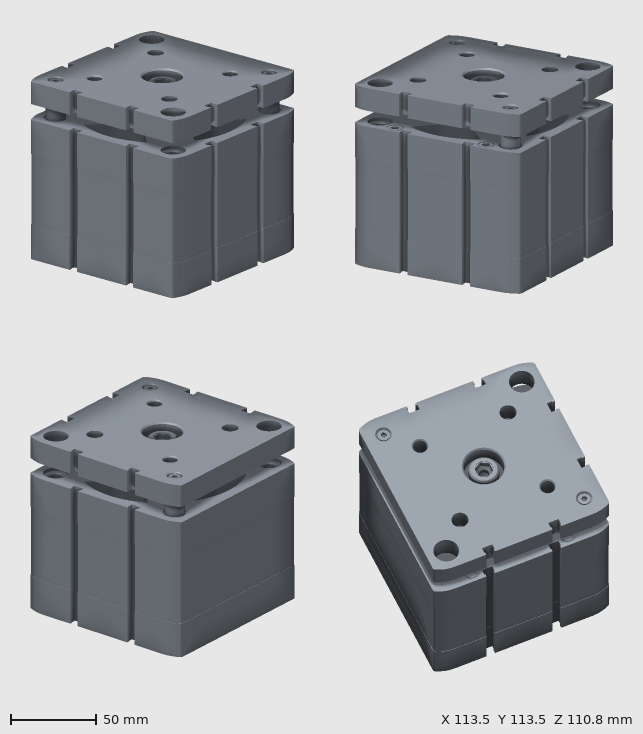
import cadquery as cq
import math

WIDTH = 113.5
HALF = WIDTH / 2
TOTAL_HEIGHT = 110.8
PLATE_THICKNESS = 14.0
GAP = 9.8
PLATE_BOTTOM = TOTAL_HEIGHT - PLATE_THICKNESS
HOUSING_TOP = PLATE_BOTTOM - GAP
CAP_HEIGHT = 21.5
TUBE_HEIGHT = HOUSING_TOP - 2 * CAP_HEIGHT
TUBE_INSET = 0.2

SIDE_ARC_START = 44.5
SIDE_ARC_RADIUS = 24.0
CORNER_FILLET = 1.8

SLOT_OFFSET = 21.35
SLOT_NECK_WIDTH = 5.5
SLOT_INNER_WIDTH = 6.6
SLOT_LIP = 1.8
SLOT_DEPTH = 5.1
SLOT_LIP_BEVEL = 0.3

CORNER_OFFSET = 44.5
GUIDE_DIAMETER = 12.0
GUIDE_COLLAR_DIAMETER = 14.0
GUIDE_COLLAR_DEPTH = 1.0
ROD_DIAMETER = 20.0
ROD_INSERTION = 60.0
FLAT_WIDTH = 17.0
FLAT_HEIGHT = 7.0
FLAT_LEDGE_DROP = 0.9

BORE_DIAMETER = 24.0
BORE_CHAMFER = 0.9
BORE_DEPTH = 10.0
ROD_END_DIAMETER = 18.0
ROD_END_TIP_DIAMETER = 15.8
ROD_END_DEPTH = 3.4
SOCKET_MOUTH_DIAMETER = 11.2
SOCKET_FLATS = 9.5
SOCKET_MOUTH_DEPTH = 0.5
SOCKET_DEPTH = 4.0
PILOT_DIAMETER = 6.0
PILOT_DEPTH = 3.0
DRILL_TIP_ANGLE = 118.0

INNER_HOLE_OFFSET = 28.28
INNER_HOLE_DIAMETER = 10.0
THREAD_DIAMETER = 8.5
SINK_DIAMETER = 10.0
ACCESS_DIAMETER = 15.0
SCREW_HOLE_DIAMETER = 8.57
SCREW_HOLE_DEPTH = 1.5
SCREW_HEAD_DIAMETER = 7.6
SCREW_HEAD_DEPTH = 0.75
SCREW_SOCKET_FLATS = 3.2
SCREW_SOCKET_DEPTH = 2.0

SEAT_DEPTH = 2.0
POCKET_DIAMETER = 100.0
POCKET_DEPTH = 16.0
POCKET_HUB_RADIUS = 30.0
POCKET_RIB_HALF_WIDTH = 14.0
POCKET_FILLET = 10.0
POCKET_DRAFT = 4.5
ADJUSTER_X = -50.0
ADJUSTER_Y = 31.1
ADJUSTER_DIAMETER = 10.7
ADJUSTER_PLUG_DIAMETER = 8.5
ADJUSTER_GROOVE_DEPTH = 0.5
ADJUSTER_SOCKET_FLATS = 5.0
ADJUSTER_SOCKET_DEPTH = 3.0

DIAGONAL_A = [(-1, -1), (1, 1)]
DIAGONAL_B = [(-1, 1), (1, -1)]
SIGNS = (-1, 1)
QUARTER_TURNS = (0, 90, 180, 270)
SLOTTED_SIDES = (-90, 0, 90)
SLOT_OVERCUT = 1.0


def points(signs, offset):
    return [(sx * offset, sy * offset) for sx, sy in signs]


def cylinder(x, y, bottom, top, diameter):
    return cq.Workplane("XY", origin=(x, y, bottom)).circle(diameter / 2).extrude(top - bottom)


def hexagon(x, y, bottom, top, flats):
    across_corners = flats / math.cos(math.pi / 6)
    return cq.Workplane("XY", origin=(x, y, bottom)).polygon(6, across_corners).extrude(top - bottom)


def cone(x, y, bottom, top, bottom_diameter, top_diameter):
    solid = cq.Solid.makeCone(bottom_diameter / 2, top_diameter / 2, top - bottom, cq.Vector(x, y, bottom))
    return cq.Workplane(solid)


def side_slot(bottom, top, bevel, surface):
    """T-slot cutter opening toward -Y, centred on X = 0; surface is the distance to the side face."""
    neck = SLOT_NECK_WIDTH / 2
    inner = SLOT_INNER_WIDTH / 2
    floor = SLOT_DEPTH - surface
    lip = SLOT_LIP - surface
    half_outline = [(inner, floor), (inner, lip), (neck, lip)]
    outside = -surface - SLOT_OVERCUT
    if bevel:
        half_outline += [(neck, bevel - surface), (neck + bevel, -surface), (neck + bevel, outside)]
    else:
        half_outline += [(neck, outside)]
    mirrored = [(-x, y) for x, y in reversed(half_outline)]
    outline = cq.Workplane("XY", origin=(0, 0, bottom)).polyline(half_outline + mirrored).close()
    return outline.extrude(top - bottom)


def slotted_block(bottom, top, inset=0.0, bevel=0.0):
    """Square block with bowed corners and two T-slots in the -X, -Y and +X sides."""
    side = HALF - inset
    start = SIDE_ARC_START - inset
    rise = side - start
    half_rise = rise / 2

    def bow(height):
        return side - SIDE_ARC_RADIUS + math.sqrt(SIDE_ARC_RADIUS**2 - height**2)

    block = (
        cq.Workplane("XY", origin=(0, 0, bottom))
        .moveTo(side, -start)
        .lineTo(side, start)
        .threePointArc((bow(half_rise), start + half_rise), (bow(rise), side))
        .lineTo(-bow(rise), side)
        .threePointArc((-bow(half_rise), start + half_rise), (-side, start))
        .lineTo(-side, -start)
        .threePointArc((-bow(half_rise), -start - half_rise), (-bow(rise), -side))
        .lineTo(bow(rise), -side)
        .threePointArc((bow(half_rise), -start - half_rise), (side, -start))
        .close()
        .extrude(top - bottom)
    )
    block = block.faces("<Y or >Y").edges("|Z").fillet(CORNER_FILLET)
    for angle in SLOTTED_SIDES:
        for sign in SIGNS:
            slot = side_slot(bottom, top, bevel, side).translate((sign * SLOT_OFFSET, 0, 0))
            block = block.cut(slot.rotate((0, 0, 0), (0, 0, 1), angle))
    return block


def cap_pocket():
    """Drafted pocket between two diagonal ribs, the hub and the outer circle, facing +X."""
    outer = POCKET_DIAMETER / 2
    rib = POCKET_RIB_HALF_WIDTH

    def rib_corner(radius, side):
        angle = math.pi / 4 - math.asin(rib / radius)
        return (radius * math.cos(angle), side * radius * math.sin(angle))

    pocket = (
        cq.Workplane("XY", origin=(0, 0, HOUSING_TOP))
        .moveTo(*rib_corner(POCKET_HUB_RADIUS, -1))
        .lineTo(*rib_corner(outer, -1))
        .threePointArc((outer, 0), rib_corner(outer, 1))
        .lineTo(*rib_corner(POCKET_HUB_RADIUS, 1))
        .threePointArc((POCKET_HUB_RADIUS, 0), rib_corner(POCKET_HUB_RADIUS, -1))
        .close()
        .extrude(-POCKET_DEPTH, taper=POCKET_DRAFT)
    )
    quarter_depth = POCKET_DEPTH / 4
    rib_roots = cq.selectors.BoxSelector(
        (0, -outer, HOUSING_TOP - POCKET_DEPTH + quarter_depth),
        (POCKET_HUB_RADIUS + POCKET_FILLET / 2, outer, HOUSING_TOP - quarter_depth),
    )
    return pocket.edges(rib_roots).fillet(POCKET_FILLET)


def build_housing():
    """Two end caps and a slightly slimmer tube, with the rod, guide and mounting holes."""
    tube_top = CAP_HEIGHT + TUBE_HEIGHT
    housing = slotted_block(0, CAP_HEIGHT)
    housing = housing.union(slotted_block(CAP_HEIGHT, tube_top, TUBE_INSET, SLOT_LIP_BEVEL))
    housing = housing.union(slotted_block(tube_top, HOUSING_TOP))

    for angle in QUARTER_TURNS:
        housing = housing.cut(cap_pocket().rotate((0, 0, 0), (0, 0, 1), angle))

    seat = HOUSING_TOP - SEAT_DEPTH
    sink = (SINK_DIAMETER - THREAD_DIAMETER) / 2
    for x, y in points(DIAGONAL_B, CORNER_OFFSET):
        housing = housing.cut(cylinder(x, y, 0, HOUSING_TOP, THREAD_DIAMETER))
        housing = housing.cut(cone(x, y, seat - sink, seat, THREAD_DIAMETER, SINK_DIAMETER))
        housing = housing.cut(cylinder(x, y, seat, HOUSING_TOP, ACCESS_DIAMETER))

    rod_end = HOUSING_TOP - ROD_INSERTION
    housing = housing.cut(cylinder(0, 0, rod_end, HOUSING_TOP, ROD_DIAMETER))
    for x, y in points(DIAGONAL_A, CORNER_OFFSET):
        housing = housing.cut(cylinder(x, y, rod_end, HOUSING_TOP, GUIDE_DIAMETER))
        collar_bottom = HOUSING_TOP - GUIDE_COLLAR_DEPTH
        housing = housing.cut(cylinder(x, y, collar_bottom, HOUSING_TOP, GUIDE_COLLAR_DIAMETER))

    for sign in SIGNS:
        y = sign * ADJUSTER_Y
        groove_bottom = HOUSING_TOP - ADJUSTER_GROOVE_DEPTH
        groove = cylinder(ADJUSTER_X, y, groove_bottom, HOUSING_TOP, ADJUSTER_DIAMETER)
        groove = groove.cut(cylinder(ADJUSTER_X, y, groove_bottom, HOUSING_TOP, ADJUSTER_PLUG_DIAMETER))
        housing = housing.cut(groove)
        socket_bottom = HOUSING_TOP - ADJUSTER_SOCKET_DEPTH
        housing = housing.cut(hexagon(ADJUSTER_X, y, socket_bottom, HOUSING_TOP, ADJUSTER_SOCKET_FLATS))
    return housing


def wrench_flat():
    """Cutter for the -Y wrench flat of the piston rod, with a sloping lower ledge."""
    flat = FLAT_WIDTH / 2
    outside = ROD_DIAMETER / 2
    ledge = PLATE_BOTTOM - FLAT_HEIGHT
    return (
        cq.Workplane("YZ")
        .polyline([
            (-flat, PLATE_BOTTOM),
            (-flat, ledge),
            (-outside, ledge - FLAT_LEDGE_DROP),
            (-outside, PLATE_BOTTOM),
        ])
        .close()
        .extrude(outside, both=True)
    )


def cut_rod_end(yoke):
    """Bore around the chamfered rod end, with its hexagon socket and drilled pilot."""
    rim = TOTAL_HEIGHT - BORE_CHAMFER
    tip = TOTAL_HEIGHT - ROD_END_DEPTH
    chamfer = (ROD_END_DIAMETER - ROD_END_TIP_DIAMETER) / 2
    bore_floor = TOTAL_HEIGHT - BORE_DEPTH
    yoke = yoke.cut(cylinder(0, 0, bore_floor, TOTAL_HEIGHT, BORE_DIAMETER))
    yoke = yoke.cut(cone(0, 0, rim, TOTAL_HEIGHT, BORE_DIAMETER, BORE_DIAMETER + 2 * BORE_CHAMFER))
    yoke = yoke.union(cylinder(0, 0, bore_floor, tip - chamfer, ROD_END_DIAMETER))
    yoke = yoke.union(cone(0, 0, tip - chamfer, tip, ROD_END_DIAMETER, ROD_END_TIP_DIAMETER))

    tip_slope = math.tan(math.radians(DRILL_TIP_ANGLE / 2))
    socket_floor = tip - SOCKET_DEPTH
    pilot_top = socket_floor - (SOCKET_FLATS - PILOT_DIAMETER) / 2 / tip_slope
    pilot_bottom = pilot_top - PILOT_DEPTH
    pilot_tip = pilot_bottom - PILOT_DIAMETER / 2 / tip_slope
    yoke = yoke.cut(cylinder(0, 0, tip - SOCKET_MOUTH_DEPTH, tip, SOCKET_MOUTH_DIAMETER))
    yoke = yoke.cut(hexagon(0, 0, socket_floor, tip, SOCKET_FLATS))
    yoke = yoke.cut(cone(0, 0, pilot_top, socket_floor, PILOT_DIAMETER, SOCKET_FLATS))
    yoke = yoke.cut(cylinder(0, 0, pilot_bottom, pilot_top, PILOT_DIAMETER))
    return yoke.cut(cone(0, 0, pilot_tip, pilot_bottom, 0, PILOT_DIAMETER))


def cut_guide_screws(yoke):
    """Sunken socket screw heads over the guide rods, in countersunk holes."""
    head = TOTAL_HEIGHT - SCREW_HEAD_DEPTH
    floor = TOTAL_HEIGHT - SCREW_HOLE_DEPTH
    sink = TOTAL_HEIGHT - (SINK_DIAMETER - SCREW_HOLE_DIAMETER) / 2
    for x, y in points(DIAGONAL_A, CORNER_OFFSET):
        yoke = yoke.cut(cylinder(x, y, floor, TOTAL_HEIGHT, SCREW_HOLE_DIAMETER))
        yoke = yoke.cut(cone(x, y, sink, TOTAL_HEIGHT, SCREW_HOLE_DIAMETER, SINK_DIAMETER))
        yoke = yoke.union(cylinder(x, y, floor, head, SCREW_HEAD_DIAMETER))
        yoke = yoke.cut(hexagon(x, y, head - SCREW_SOCKET_DEPTH, head, SCREW_SOCKET_FLATS))
    return yoke


def build_yoke():
    """Front plate with the piston rod and the two guide rods."""
    yoke = slotted_block(PLATE_BOTTOM, TOTAL_HEIGHT, bevel=SLOT_LIP_BEVEL)

    for x, y in points(DIAGONAL_B, CORNER_OFFSET):
        yoke = yoke.cut(cylinder(x, y, PLATE_BOTTOM, TOTAL_HEIGHT, ACCESS_DIAMETER))
    for x, y in points(DIAGONAL_B, INNER_HOLE_OFFSET):
        yoke = yoke.cut(cylinder(x, y, PLATE_BOTTOM, TOTAL_HEIGHT, INNER_HOLE_DIAMETER))
    sink = (SINK_DIAMETER - THREAD_DIAMETER) / 2
    for x, y in points(DIAGONAL_A, INNER_HOLE_OFFSET):
        yoke = yoke.cut(cylinder(x, y, PLATE_BOTTOM, TOTAL_HEIGHT, THREAD_DIAMETER))
        yoke = yoke.cut(cone(x, y, TOTAL_HEIGHT - sink, TOTAL_HEIGHT, THREAD_DIAMETER, SINK_DIAMETER))

    rod_end = HOUSING_TOP - ROD_INSERTION
    rod = cylinder(0, 0, rod_end, PLATE_BOTTOM, ROD_DIAMETER)
    rod = rod.cut(wrench_flat()).cut(wrench_flat().mirror("XZ"))
    yoke = yoke.union(rod)
    for x, y in points(DIAGONAL_A, CORNER_OFFSET):
        yoke = yoke.union(cylinder(x, y, rod_end, PLATE_BOTTOM, GUIDE_DIAMETER))
    return cut_guide_screws(cut_rod_end(yoke))


housing = build_housing()
yoke = build_yoke()

result = cq.Compound.makeCompound([housing.solids().val(), yoke.solids().val()])